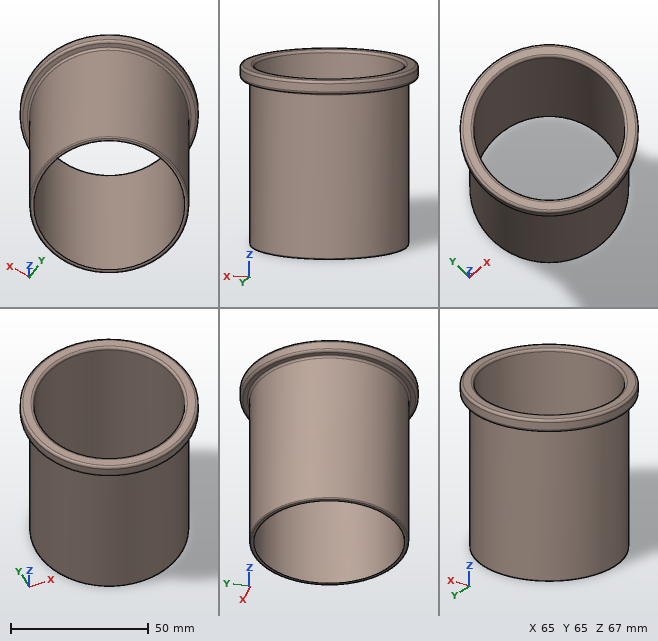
import cadquery as cq

height = 67.0
flange_diameter = 65.0
flange_thickness = 5.0
body_diameter = 58.0
bore_diameter = 55.0

rim_radius = 1.0
neck_radius = 0.8
foot_radius = 0.5

flange_bottom = height - flange_thickness


def make_body():
    body = cq.Workplane("XY").circle(body_diameter / 2).extrude(flange_bottom)
    return body.faces("<Z").edges().fillet(foot_radius)


def make_flange():
    flange = (
        cq.Workplane("XY")
        .workplane(offset=flange_bottom)
        .circle(flange_diameter / 2)
        .extrude(flange_thickness)
    )
    return flange.edges("%CIRCLE").fillet(rim_radius)


def make_neck():
    """Ring with a concave quarter-round outside, filling the corner under the flange."""
    body_radius = body_diameter / 2
    return (
        cq.Workplane("XZ")
        .moveTo(bore_diameter / 2, flange_bottom)
        .lineTo(body_radius + neck_radius, flange_bottom)
        .radiusArc((body_radius, flange_bottom - neck_radius), -neck_radius)
        .lineTo(bore_diameter / 2, flange_bottom - neck_radius)
        .close()
        .revolve(360, (0, 0, 0), (0, 1, 0))
    )


def cut_bore(solid):
    bored = solid.cut(cq.Workplane("XY").circle(bore_diameter / 2).extrude(height))
    return bored.faces(">Z").edges(cq.selectors.RadiusNthSelector(0)).fillet(rim_radius)


result = cut_bore(make_body().union(make_flange()).union(make_neck()))